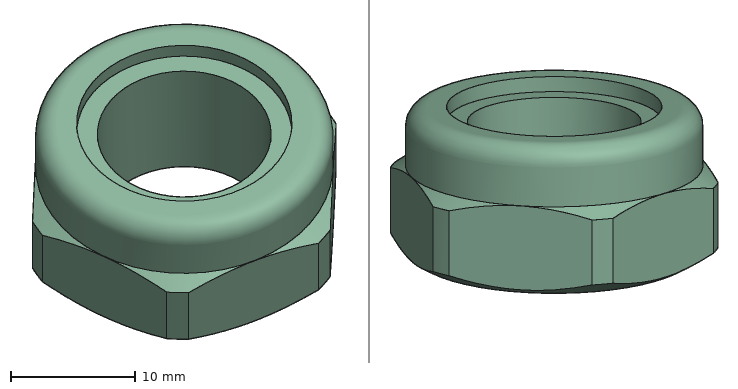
import cadquery as cq
import math

corner_diameter = 26.75
across_flats = 24.0
collar_diameter = 23.97
total_height = 12.4
hex_height = 7.45

chamfer_angle = math.radians(30)
base_diameter = 22.52
collar_round = 1.65

bore_diameter = 14.0
recess_diameter = 17.33
recess_depth = 1.25


def chamfer_height(inner_diameter):
    """Height of the cone between a diameter and the rounded hex corners."""
    return (corner_diameter - inner_diameter) / 2 * math.tan(chamfer_angle)


def make_hex_base():
    """Hexagon trimmed by a turned blank: round corners and conical chamfers."""
    sharp_corner_diameter = across_flats / math.cos(math.pi / 6)
    hexagon = cq.Workplane("XY").polygon(6, sharp_corner_diameter).extrude(hex_height)

    corner_radius = corner_diameter / 2
    turned_blank = (
        cq.Workplane("XZ")
        .lineTo(base_diameter / 2, 0)
        .lineTo(corner_radius, chamfer_height(base_diameter))
        .lineTo(corner_radius, hex_height - chamfer_height(collar_diameter))
        .lineTo(collar_diameter / 2, hex_height)
        .lineTo(0, hex_height)
        .close()
        .revolve(360, (0, 0, 0), (0, 1, 0))
    )
    return hexagon.intersect(turned_blank)


def make_collar():
    """Round collar with a rounded top rim."""
    return (
        cq.Workplane("XY")
        .workplane(offset=hex_height)
        .circle(collar_diameter / 2)
        .extrude(total_height - hex_height)
        .faces(">Z")
        .edges()
        .fillet(collar_round)
    )


body = make_hex_base().union(make_collar())
result = body.faces(">Z").workplane().cboreHole(bore_diameter, recess_diameter, recess_depth)